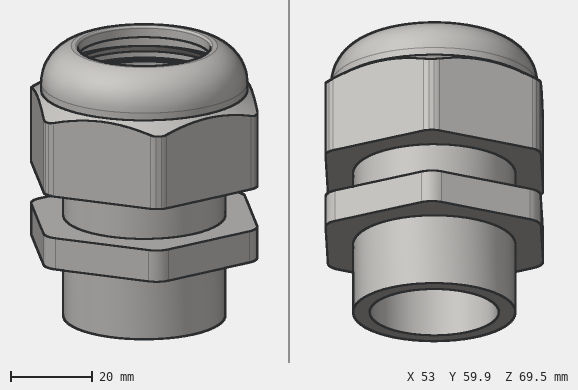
import cadquery as cq
import math

total_height = 69.5
across_flats = 53.0
thread_radius = 20.0
bore_radius = 15.9

flange_bottom = 17.85
flange_top = 25.9
flange_corner_radius = 5.0
shoulder_height = 54.2
neck_radius = 17.5
neck_top = 60.5

seal_radius = 21.9
seal_inner_radius = 19.1
seal_lip_radius = 17.6
seal_lip_height = 64.0
seal_taper_bottom = 62.1
seal_rim_drop = 1.3

cap_bottom = 36.6
hex_corner_radius = 3.95
hex_turned_radius = 29.95
hex_bevel_bottom = 55.3
dome_base = 58.2
dome_spring = 60.05
dome_radius = 25.45
dome_arc_radius = 9.7
mouth_radius = 16.3
mouth_fillet = 0.55
mouth_bottom = 66.65


def hex_prism(bottom, top, corner_radius):
    """Hexagon with rounded corners, flats on +X and -X, corners on +Y and -Y."""
    across_corners = across_flats / math.cos(math.pi / 6)
    return (
        cq.Workplane("XY")
        .workplane(offset=bottom)
        .transformed(rotate=(0, 0, 90))
        .polygon(6, across_corners)
        .extrude(top - bottom)
        .edges("|Z")
        .fillet(corner_radius)
    )


def cylinder(radius, bottom, top):
    return cq.Workplane("XY").workplane(offset=bottom).circle(radius).extrude(top - bottom)


def revolve_profile(profile):
    """Turn a closed profile of (radius, height) points about the Z axis."""
    return profile.close().revolve(360, (0, 0, 0), (0, 1, 0))


def make_gland_body():
    """Bored threaded tube with a hexagonal flange and a narrower neck inside the seal."""
    tube = cylinder(thread_radius, 0, shoulder_height)
    neck = cylinder(neck_radius, shoulder_height, neck_top)
    flange = hex_prism(flange_bottom, flange_top, flange_corner_radius)
    bore = cylinder(bore_radius, 0, neck_top)
    return tube.union(neck).union(flange).cut(bore)


def make_seal():
    """Ring around the neck, with an inward lip and a top that falls away outward."""
    return revolve_profile(
        cq.Workplane("XZ")
        .moveTo(neck_radius, shoulder_height)
        .lineTo(seal_radius, shoulder_height)
        .lineTo(seal_radius, seal_lip_height - seal_rim_drop)
        .lineTo(seal_lip_radius, seal_lip_height)
        .lineTo(seal_inner_radius, seal_taper_bottom)
        .lineTo(seal_inner_radius, neck_top)
        .lineTo(neck_radius, neck_top)
    )


def make_cap_hex():
    """Hexagonal skirt, turned at the corners and bevelled on top."""
    envelope = revolve_profile(
        cq.Workplane("XZ")
        .moveTo(0, cap_bottom)
        .lineTo(hex_turned_radius, cap_bottom)
        .lineTo(hex_turned_radius, hex_bevel_bottom)
        .lineTo(dome_radius, dome_base)
        .lineTo(0, dome_base)
    )
    return hex_prism(cap_bottom, dome_base, hex_corner_radius).intersect(envelope)


def make_cap_dome():
    """Short straight band under an arc that ends at the flat top face."""
    arc_center = dome_radius - dome_arc_radius
    end_angle = math.asin((total_height - dome_spring) / dome_arc_radius)
    top_radius = arc_center + dome_arc_radius * math.cos(end_angle)
    middle = (
        arc_center + dome_arc_radius * math.cos(end_angle / 2),
        dome_spring + dome_arc_radius * math.sin(end_angle / 2),
    )
    return revolve_profile(
        cq.Workplane("XZ")
        .moveTo(0, dome_base)
        .lineTo(dome_radius, dome_base)
        .lineTo(dome_radius, dome_spring)
        .threePointArc(middle, (top_radius, total_height))
        .lineTo(0, total_height)
    )


def make_cap_nut():
    """Domed nut hollowed for the tube and seal, with a rounded cable mouth."""
    mouth = cylinder(mouth_radius, mouth_bottom, total_height)
    tube_bore = cylinder(thread_radius, cap_bottom, shoulder_height)
    seal_chamber = cylinder(seal_radius, shoulder_height, mouth_bottom)
    cap = make_cap_hex().union(make_cap_dome()).cut(tube_bore).cut(seal_chamber).cut(mouth)
    mouth_edge = cq.selectors.RadiusNthSelector(0)
    return cap.faces(">Z").edges(mouth_edge).fillet(mouth_fillet)


gland_body = make_gland_body()
seal = make_seal()
cap_nut = make_cap_nut()

result = cq.Compound.makeCompound([gland_body.val(), seal.val(), cap_nut.val()])